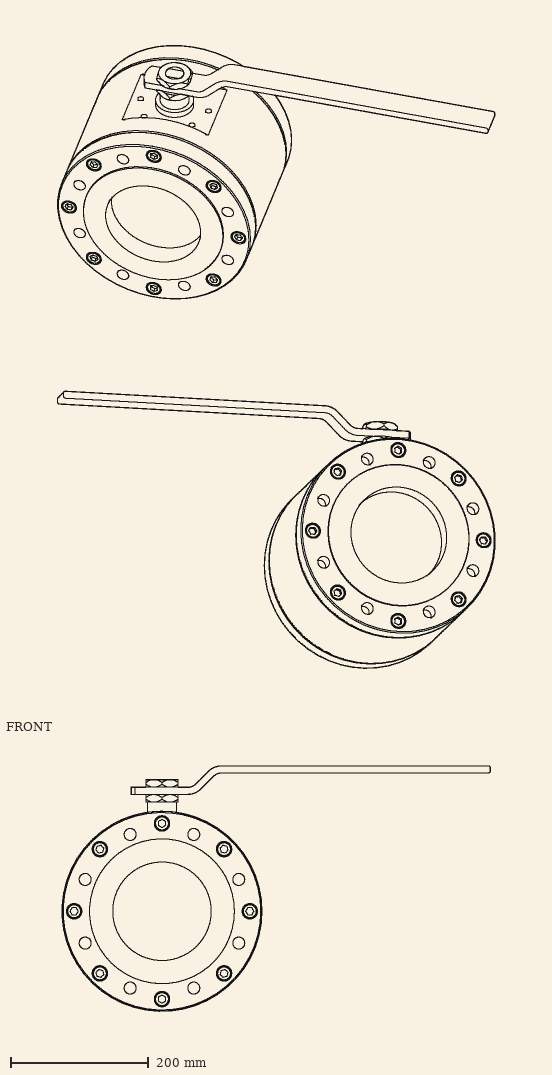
import cadquery as cq
import math

TOTAL_LENGTH_X = 621.0
TOTAL_HEIGHT_Z = 356.0
HEX_SIDES = 6

BODY_RADIUS = 290.0 / 2
FLANGE_FACE_Y = 115.0
FLANGE_JOINT_Y = 83.0
EDGE_CHAMFER = 2.0
RAISED_FACE_DIAMETER = 210.0
RAISED_FACE_Y = 118.0
BORE_DIAMETER = 143.0
BALL_DIAMETER = 223.5

FLANGE_HOLE_COUNT = 8
FLANGE_HOLE_STEP = 360 / FLANGE_HOLE_COUNT
SCREW_CIRCLE_RADIUS = 127.0
SCREW_POCKET_DIAMETER = 22.5
SCREW_HEAD_DIAMETER = 21.0
SCREW_POCKET_DEPTH = 12.5
SCREW_HEAD_HEIGHT = 12.0
SCREW_HEAD_CHAMFER = 1.0
SCREW_SOCKET_ACROSS_CORNERS = 12.0
SCREW_SOCKET_DEPTH = 6.0
BLIND_CIRCLE_RADIUS = 120.5
BLIND_HOLE_DIAMETER = 17.5
BLIND_HOLE_DEPTH = 25.0
DRILL_POINT_ANGLE = 118.0

PAD_Z = 130.0
PAD_WIDTH_Y = 103.0
PAD_HOLE_CIRCLE_RADIUS = 51.0
PAD_HOLE_ANGLES = (0, 45, 135, 180, 225, 315)
PAD_HOLE_DIAMETER = 9.0
PAD_HOLE_DEPTH = 12.5

LEVER_WIDTH = 38.0
LEVER_THICKNESS = 10.5
LEVER_TOP_Z = TOTAL_HEIGHT_Z - BODY_RADIUS
LEVER_RISE = 31.0
LEVER_START_X = -45.0
LEVER_END_X = TOTAL_LENGTH_X - BODY_RADIUS
LEVER_NOSE_BULGE = 5.5
BEND_CORNER_X = 44.0
BEND_ANGLE = 45.0
BEND_INNER_RADIUS = 16.0
LEVER_END_FILLET = 3.0

COLLAR_DIAMETER = 55.0
COLLAR_HEIGHT = 9.5
STEM_DIAMETER = 42.0
STEM_TIP_DIAMETER = 27.0
STEM_TIP_ACROSS_FLATS = 17.5
STEM_TIP_RECESS = 1.0
NUT_ACROSS_FLATS = 46.5
NUT_HEIGHT = 11.0
NUT_CHAMFER_ANGLE = 50.0

LEVER_SEAT_TOP_Z = LEVER_TOP_Z - LEVER_RISE
LEVER_SEAT_BOTTOM_Z = LEVER_SEAT_TOP_Z - LEVER_THICKNESS
STEM_TOP_Z = LEVER_SEAT_BOTTOM_Z - NUT_HEIGHT


def drum(diameter, y_start, y_end):
    """Cylinder along Y."""
    return cq.Workplane("XZ", origin=(0, y_start, 0)).circle(diameter / 2).extrude(y_start - y_end)


def drilled_hole(diameter, depth):
    """Cutter for a blind hole going down from the origin, ending in a drill point."""
    radius = diameter / 2
    point_depth = radius / math.tan(math.radians(DRILL_POINT_ANGLE / 2))
    profile = [(0, 0), (radius, 0), (radius, -depth), (0, -depth - point_depth)]
    return cq.Workplane("XZ").polyline(profile).close().revolve(360, (0, 0), (0, 1))


def screw_recess():
    """Cutter for a sunk screw going down from the origin: the gap around the head and its socket."""
    pocket = cq.Workplane("XY").circle(SCREW_POCKET_DIAMETER / 2).extrude(-SCREW_POCKET_DEPTH)
    head_start = SCREW_HEAD_HEIGHT - SCREW_POCKET_DEPTH
    head = (
        cq.Workplane("XY", origin=(0, 0, head_start))
        .circle(SCREW_HEAD_DIAMETER / 2)
        .extrude(-SCREW_HEAD_HEIGHT)
        .faces(">Z")
        .chamfer(SCREW_HEAD_CHAMFER)
    )
    socket = (
        cq.Workplane("XY", origin=(0, 0, head_start))
        .polygon(HEX_SIDES, SCREW_SOCKET_ACROSS_CORNERS)
        .extrude(-SCREW_SOCKET_DEPTH)
    )
    return pocket.cut(head).union(socket)


def cut_flange_ring(flange, cutter, circle_radius, start_angle):
    """Repeat a cutter around the flange face on the -Y side."""
    first = cutter.rotate((0, 0, 0), (1, 0, 0), 90).translate((circle_radius, -FLANGE_FACE_Y, 0))
    for index in range(FLANGE_HOLE_COUNT):
        angle = start_angle + index * FLANGE_HOLE_STEP
        flange = flange.cut(first.rotate((0, 0, 0), (0, 1, 0), angle))
    return flange


def make_body():
    diameter = 2 * BODY_RADIUS
    body = drum(diameter, -FLANGE_JOINT_Y, FLANGE_JOINT_Y).edges("%CIRCLE").chamfer(EDGE_CHAMFER)
    flange = drum(diameter, -FLANGE_FACE_Y, -FLANGE_JOINT_Y).edges("%CIRCLE").chamfer(EDGE_CHAMFER)
    flange = flange.union(drum(RAISED_FACE_DIAMETER, -RAISED_FACE_Y, -FLANGE_JOINT_Y))
    blind_hole = drilled_hole(BLIND_HOLE_DIAMETER, BLIND_HOLE_DEPTH)
    flange = cut_flange_ring(flange, screw_recess(), SCREW_CIRCLE_RADIUS, 0)
    flange = cut_flange_ring(flange, blind_hole, BLIND_CIRCLE_RADIUS, FLANGE_HOLE_STEP / 2)
    body = body.union(flange).union(flange.mirror("XZ"))

    bore = drum(BORE_DIAMETER, -RAISED_FACE_Y, RAISED_FACE_Y)
    return body.cut(bore.cut(cq.Workplane("XY").sphere(BALL_DIAMETER / 2)))


def cut_pad(body):
    pad_space = (
        cq.Workplane("XY", origin=(0, 0, PAD_Z))
        .rect(2 * BODY_RADIUS, PAD_WIDTH_Y)
        .extrude(BODY_RADIUS - PAD_Z)
    )
    body = body.cut(pad_space)
    hole = drilled_hole(PAD_HOLE_DIAMETER, PAD_HOLE_DEPTH)
    for angle in PAD_HOLE_ANGLES:
        x = PAD_HOLE_CIRCLE_RADIUS * math.cos(math.radians(angle))
        y = PAD_HOLE_CIRCLE_RADIUS * math.sin(math.radians(angle))
        body = body.cut(hole.translate((x, y, PAD_Z)))
    return body


def make_lever():
    run = LEVER_RISE / math.tan(math.radians(BEND_ANGLE))
    miter = LEVER_THICKNESS * math.tan(math.radians(BEND_ANGLE / 2))
    upper_corner_x = BEND_CORNER_X + run
    underside_lower_corner = (BEND_CORNER_X + miter, LEVER_SEAT_BOTTOM_Z)
    underside_upper_corner = (upper_corner_x + miter, LEVER_TOP_Z - LEVER_THICKNESS)
    outline = [
        (LEVER_START_X, LEVER_SEAT_TOP_Z),
        (BEND_CORNER_X, LEVER_SEAT_TOP_Z),
        (upper_corner_x, LEVER_TOP_Z),
        (LEVER_END_X, LEVER_TOP_Z),
        (LEVER_END_X, LEVER_TOP_Z - LEVER_THICKNESS),
        underside_upper_corner,
        underside_lower_corner,
        (LEVER_START_X, LEVER_SEAT_BOTTOM_Z),
    ]
    lever = cq.Workplane("XZ").polyline(outline).close().extrude(LEVER_WIDTH / 2, both=True)

    inner_corners = [(BEND_CORNER_X, LEVER_SEAT_TOP_Z), underside_upper_corner]
    outer_corners = [(upper_corner_x, LEVER_TOP_Z), underside_lower_corner]
    bends = [(inner_corners, BEND_INNER_RADIUS), (outer_corners, BEND_INNER_RADIUS + LEVER_THICKNESS)]
    for corners, radius in bends:
        for x, z in corners:
            lever = lever.edges(cq.selectors.NearestToPointSelector((x, 0, z))).fillet(radius)

    lever = lever.faces(">X").edges("|Y").fillet(LEVER_END_FILLET)

    half = LEVER_WIDTH / 2
    shoulder_x = LEVER_START_X + LEVER_NOSE_BULGE
    plan = (
        cq.Workplane("XY")
        .moveTo(shoulder_x, -half)
        .threePointArc((LEVER_START_X, 0), (shoulder_x, half))
        .lineTo(LEVER_END_X, half)
        .lineTo(LEVER_END_X, -half)
        .close()
        .extrude(LEVER_TOP_Z)
    )
    return lever.intersect(plan)


def make_nut(bottom_z):
    """Hexagon nut with flats facing X, its corners chamfered at both ends."""
    across_corners = NUT_ACROSS_FLATS / math.cos(math.pi / HEX_SIDES)
    corner_radius = across_corners / 2
    end_radius = NUT_ACROSS_FLATS / 2
    drop = (corner_radius - end_radius) * math.tan(math.radians(NUT_CHAMFER_ANGLE))
    profile = [
        (0, 0),
        (end_radius, 0),
        (corner_radius, drop),
        (corner_radius, NUT_HEIGHT - drop),
        (end_radius, NUT_HEIGHT),
        (0, NUT_HEIGHT),
    ]
    envelope = cq.Workplane("XZ").polyline(profile).close().revolve(360, (0, 0), (0, 1))
    hexagon = cq.Workplane("XY").polygon(HEX_SIDES, across_corners).extrude(NUT_HEIGHT)
    nut = hexagon.rotate((0, 0, 0), (0, 0, 1), 90).intersect(envelope)
    return nut.translate((0, 0, bottom_z))


def make_stem():
    collar = cq.Workplane("XY", origin=(0, 0, PAD_Z)).circle(COLLAR_DIAMETER / 2).extrude(COLLAR_HEIGHT)
    stem = cq.Workplane("XY", origin=(0, 0, PAD_Z)).circle(STEM_DIAMETER / 2).extrude(STEM_TOP_Z - PAD_Z)
    return collar.union(stem)


def make_top_nut():
    """Upper nut with the flattened stem tip standing just below the rim of its hole."""
    seat = cq.Workplane("XY", origin=(0, 0, LEVER_SEAT_TOP_Z))
    hole = seat.circle(STEM_TIP_DIAMETER / 2).extrude(NUT_HEIGHT)
    flats = seat.rect(STEM_TIP_DIAMETER, STEM_TIP_ACROSS_FLATS).extrude(NUT_HEIGHT - STEM_TIP_RECESS)
    tip = hole.intersect(flats)
    return make_nut(LEVER_SEAT_TOP_Z).cut(hole).union(tip)


result = (
    cut_pad(make_body())
    .union(make_stem())
    .union(make_nut(STEM_TOP_Z))
    .union(make_lever())
    .union(make_top_nut())
)